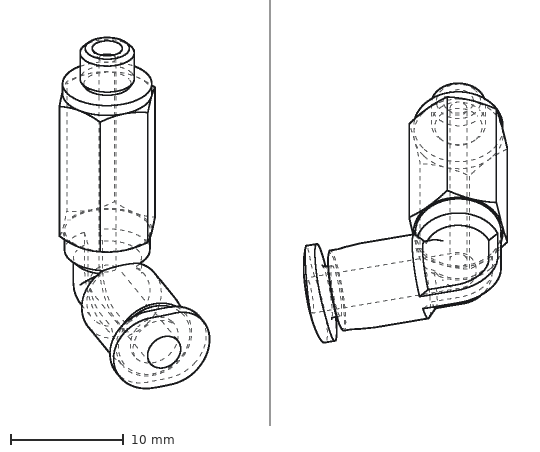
import cadquery as cq
import math


body_radius = 7.6 / 2
elbow_radius = 6.04 / 2
shoulder_start = 3.36
shoulder_length = body_radius - elbow_radius
rib_width = 1.4

hex_across_flats = 7.94
hex_bottom = 5.36
hex_top = 19.3
hex_sides = 6
hex_half_angle = 180 / hex_sides
hex_chamfer_angle = 30
washer_top = 20.3

stud_radius = 4.83 / 2
stud_top = 23.9
stud_chamfer = 0.45
undercut_radius = 4.2 / 2
undercut_height = 0.5

bore_radius = 1.5 / 2
countersink_radius = 2.68 / 2
countersink_angle = 60
tube_radius = 3.17 / 2

taper_start = 8.26
taper_end = 10.27
taper_bulge = 0.03
barrel_end = 11.1
barrel_end_radius = 7.24 / 2
barrel_end_chamfer_length = 0.08
barrel_end_chamfer_depth = 0.2

neck_radius = 4.58 / 2
neck_fillet = 0.33
button_start = 12.02
button_end = 13.5
button_width = 9.2
button_height = 7.2
button_flat_radius = 1.8
button_dome_drop = 0.60


def make_elbow(radius, length):
    """Two round legs along +Z and +X with a ball at their corner."""
    upright = cq.Workplane("XY").circle(radius).extrude(length)
    side_leg = cq.Workplane("YZ").circle(radius).extrude(length)
    return cq.Workplane("XY").sphere(radius).union(upright).union(side_leg)


def make_rib():
    """Flat rib that follows the outside of the elbow at full body radius."""
    size = 2 * (body_radius + shoulder_start)
    slab = cq.Workplane("XY").box(size, rib_width, size)
    return make_elbow(body_radius, shoulder_start).intersect(slab)


def make_collar():
    """Round collar under the hexagon with a conical shoulder below it."""
    return (
        cq.Workplane("XZ")
        .moveTo(0, shoulder_start - shoulder_length)
        .lineTo(elbow_radius, shoulder_start - shoulder_length)
        .lineTo(body_radius, shoulder_start)
        .lineTo(body_radius, hex_bottom)
        .lineTo(0, hex_bottom)
        .close()
        .revolve(360, (0, 0, 0), (0, 1, 0))
    )


def make_hexagon():
    """Hexagon with corners on the Y axis, its corners chamfered at both ends."""
    flat_radius = hex_across_flats / 2
    corner_radius = flat_radius / math.cos(math.radians(hex_half_angle))
    chamfer_height = (corner_radius - flat_radius) * math.tan(math.radians(hex_chamfer_angle))
    prism = (
        cq.Workplane("XY")
        .workplane(offset=hex_bottom)
        .transformed(rotate=(0, 0, hex_half_angle))
        .polygon(hex_sides, 2 * corner_radius)
        .extrude(hex_top - hex_bottom)
    )
    chamfer_envelope = (
        cq.Workplane("XZ")
        .moveTo(0, hex_bottom)
        .lineTo(flat_radius, hex_bottom)
        .lineTo(corner_radius, hex_bottom + chamfer_height)
        .lineTo(corner_radius, hex_top - chamfer_height)
        .lineTo(flat_radius, hex_top)
        .lineTo(0, hex_top)
        .close()
        .revolve(360, (0, 0, 0), (0, 1, 0))
    )
    return prism.intersect(chamfer_envelope)


def make_stud():
    """Washer face and threaded stud with a tapered undercut and a top chamfer."""
    washer_radius = hex_across_flats / 2
    return (
        cq.Workplane("XZ")
        .moveTo(0, hex_top)
        .lineTo(washer_radius, hex_top)
        .lineTo(washer_radius, washer_top)
        .lineTo(undercut_radius, washer_top)
        .lineTo(stud_radius, washer_top + undercut_height)
        .lineTo(stud_radius, stud_top - stud_chamfer)
        .lineTo(stud_radius - stud_chamfer, stud_top)
        .lineTo(0, stud_top)
        .close()
        .revolve(360, (0, 0, 0), (0, 1, 0))
    )


def make_barrel():
    """Tube port barrel that narrows along a shallow arc, followed by the button neck."""
    taper_middle = (
        (taper_start + taper_end) / 2,
        (body_radius + barrel_end_radius) / 2 + taper_bulge,
    )
    return (
        cq.Workplane("XZ")
        .moveTo(shoulder_start - shoulder_length, 0)
        .lineTo(shoulder_start - shoulder_length, elbow_radius)
        .lineTo(shoulder_start, body_radius)
        .lineTo(taper_start, body_radius)
        .threePointArc(taper_middle, (taper_end, barrel_end_radius))
        .lineTo(barrel_end - barrel_end_chamfer_length, barrel_end_radius)
        .lineTo(barrel_end, barrel_end_radius - barrel_end_chamfer_depth)
        .lineTo(barrel_end, neck_radius)
        .lineTo(button_start - neck_fillet, neck_radius)
        .tangentArcPoint((button_start, neck_radius + neck_fillet), relative=False)
        .lineTo(button_start, 0)
        .close()
        .revolve(360, (0, 0, 0), (1, 0, 0))
    )


def make_button():
    """Obround release button with a domed outer face."""
    blank = (
        cq.Workplane("YZ")
        .workplane(offset=button_start)
        .slot2D(button_width, button_height)
        .extrude(button_end - button_start)
    )
    dome_envelope = (
        cq.Workplane("XZ")
        .moveTo(button_start, 0)
        .lineTo(button_end, 0)
        .lineTo(button_end, button_flat_radius)
        .tangentArcPoint((button_end - button_dome_drop, button_width / 2), relative=False)
        .lineTo(button_start, button_width / 2)
        .close()
        .revolve(360, (0, 0, 0), (1, 0, 0))
    )
    return blank.intersect(dome_envelope)


def make_passages():
    """Tube bore with a ball end, stud bore meeting it, and the stud countersink."""
    tube_bore = cq.Workplane("YZ").circle(tube_radius).extrude(button_end)
    ball_end = cq.Workplane("XY").sphere(tube_radius)
    countersink_depth = (countersink_radius - bore_radius) / math.tan(math.radians(countersink_angle / 2))
    stud_bore = (
        cq.Workplane("XZ")
        .lineTo(bore_radius, 0)
        .lineTo(bore_radius, stud_top - countersink_depth)
        .lineTo(countersink_radius, stud_top)
        .lineTo(0, stud_top)
        .close()
        .revolve(360, (0, 0, 0), (0, 1, 0))
    )
    return tube_bore.union(ball_end).union(stud_bore)


result = (
    make_elbow(elbow_radius, shoulder_start)
    .union(make_rib())
    .union(make_collar())
    .union(make_barrel())
    .union(make_hexagon())
    .union(make_stud())
    .union(make_button())
    .cut(make_passages())
    .solids()
)